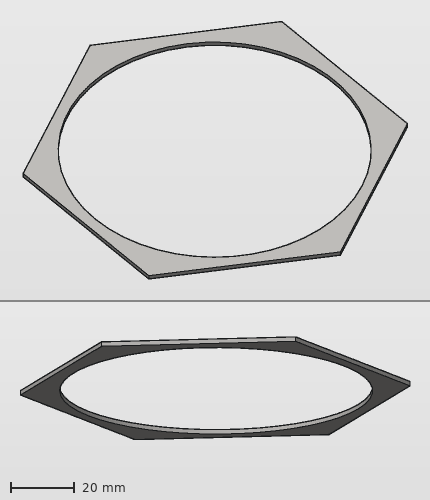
import cadquery as cq
import math

length = 123.1
width = 105.6
thickness = 1.5

hole_diameter = 98.0
hole_offset_y = -0.5

edge_angle = math.radians(30)
half_width = width / 2
tip_y = length / 2
corner_y = tip_y - half_width * math.tan(edge_angle)


def hexagonal_plate():
    """Six-sided plate with its tips on the Y axis."""
    corners = [
        (0, tip_y),
        (half_width, corner_y),
        (half_width, -corner_y),
        (0, -tip_y),
        (-half_width, -corner_y),
        (-half_width, corner_y),
    ]
    return cq.Workplane("XY").polyline(corners).close().extrude(thickness)


def round_opening():
    """Cylinder that removes the middle of the plate."""
    return (
        cq.Workplane("XY")
        .center(0, hole_offset_y)
        .circle(hole_diameter / 2)
        .extrude(thickness)
    )


result = hexagonal_plate().cut(round_opening())